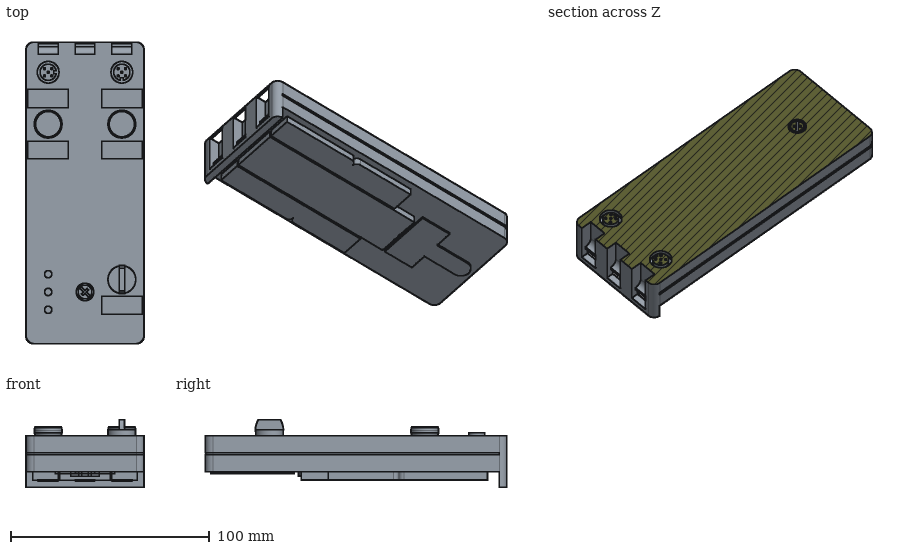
import cadquery as cq

length = 152.0
width = 59.6
height = 34.0
corner_radius = 4.0

body_bottom = 7.8
body_top = 26.0
rear_y = length / 2
inner_flange_y = rear_y - corner_radius

seam_bottom = 16.4
seam_height = 0.9
seam_depth = 0.3

side_window_width = 10.0
middle_window_width = 9.7
window_front_y = 69.9
window_floor_z = 9.1
window_floor_end_y = 73.5
window_floor_radius = window_floor_end_y - window_front_y
window_sill_z = 3.2
window_bar_depth = 0.9
window_bar_height = 0.6

column_x = 18.5
connector_y = 60.8
cap_y = 34.7
knob_y = -43.6
screw_y = -49.9
mark_depth = 0.2

label_width = 20.4
tall_label_height = 9.3
short_label_height = 8.8
upper_label_y = 47.5
lower_label_y = 21.6
knob_label_y = -56.5
led_radius = 1.8
led_pitch = 9.0

connector_outer_radius = 5.5
connector_core_radius = 4.1
connector_core_height = 1.5
connector_recess_depth = 3.0
pin_radius = 0.5
pin_offset = 1.8
pin_depth = 2.3
key_width = 1.4
key_depth = 1.2

cap_radius = 7.0
cap_height = 4.5
cap_chamfer = 0.5
cap_band_bottom = 1.4
cap_band_top = 2.7
cap_lip_height = 0.9
cap_base_radius = 6.7
cap_lip_radius = 6.8

knob_radius = 7.0
knob_disc_height = 3.0
blade_width = 2.7
blade_bottom_half = 7.1
blade_middle_half = 6.7
blade_top_half = 5.6

screw_outer_radius = 4.4
screw_head_radius = 3.5
screw_recess_depth = 1.5
screw_slot_width = 1.0
screw_cross_length = 4.0
screw_slot_depth = 0.9
screw_slot_angle = -45.0

pad_height = 4.1
pad_rear_y = 66.3
pad_split_y = 21.5
side_pad_front_y = -14.0
center_pad_front_y = -27.7
center_pad_half_width = 12.6
side_pad_inner_x = 13.5
side_pad_outer_x = 26.3
pad_corner_radius = 2.6

latch_height = 2.1
latch_reach = 1.4
latch_base_half = 7.1
latch_tip_half = 3.0
latch_notch_half = 1.5
latch_notch_depth = 0.6

plate_thickness = 0.9
plate_rear_y = -31.0
plate_front_y = -73.3
plate_half_width = 15.0
plate_shoulder_y = -48.6
tongue_radius = 5.0


def box(x0, x1, y0, y1, z0, z1):
    """Box between two opposite corners."""
    return cq.Workplane("XY").box(x1 - x0, y1 - y0, z1 - z0, centered=False).translate((x0, y0, z0))


def disc(radius, x, y, z0, z1):
    """Upright cylinder from z0 to z1."""
    return cq.Workplane("XY", origin=(x, y, z0)).circle(radius).extrude(z1 - z0)


def rounded_block(x_size, y_size, z0, z1, radius):
    """Centred block with rounded upright corners."""
    block = cq.Workplane("XY", origin=(0, 0, z0)).rect(x_size, y_size).extrude(z1 - z0)
    return block.edges("|Z").fillet(radius)


def make_housing():
    """Body with the full-height rear flange and the seam groove."""
    outline = rounded_block(width, length, 0, body_top, corner_radius)
    below_body = box(-width, width, -length, inner_flange_y, 0, body_bottom)
    seam_top = seam_bottom + seam_height
    core = rounded_block(
        width - 2 * seam_depth, length - 2 * seam_depth, seam_bottom, seam_top, corner_radius - seam_depth
    )
    seam = box(-width, width, -length, inner_flange_y, seam_bottom, seam_top).cut(core)
    return outline.cut(below_body).cut(seam)


def make_rear_window(center_x, window_width):
    """Cavity open at the top and rear, leaving a floor tongue and a thin bar along the top rear edge."""
    x0 = center_x - window_width / 2
    x1 = center_x + window_width / 2
    pocket = box(x0, x1, window_front_y, rear_y, window_floor_z, body_top)
    pocket = pocket.edges("|X and <Y and <Z").fillet(window_floor_radius)
    rear_opening = box(x0, x1, window_floor_end_y, rear_y, window_sill_z, window_floor_z)
    under_tongue = box(x0, x1, inner_flange_y, window_floor_end_y, window_sill_z, body_bottom)
    bar = box(x0, x1, rear_y - window_bar_depth, rear_y, body_top - window_bar_height, body_top)
    return pocket.union(rear_opening).union(under_tongue).cut(bar)


def cut_label(part, x, y, label_height):
    """Shallow rectangular label field in the top face."""
    field = cq.Workplane("XY", origin=(x, y, body_top)).rect(label_width, label_height).extrude(-mark_depth)
    return part.cut(field)


def add_connector(part, x, key_angle):
    """Round socket: raised core in an annular recess, five pin holes and a keyway."""
    core_top = body_top + connector_core_height
    recess_floor = body_top - connector_recess_depth
    part = part.cut(disc(connector_outer_radius, x, connector_y, recess_floor, body_top))
    core = disc(connector_core_radius, 0, 0, recess_floor, core_top)
    pins = [(0, 0)] + [(i * pin_offset, j * pin_offset) for i in (-1, 1) for j in (-1, 1)]
    core_face = cq.Workplane("XY", origin=(0, 0, core_top))
    holes = core_face.pushPoints(pins).circle(pin_radius).extrude(-pin_depth)
    keyway = box(
        connector_core_radius - key_depth, connector_core_radius, -key_width / 2, key_width / 2,
        recess_floor, core_top,
    )
    keyway = keyway.rotate((0, 0, 0), (0, 0, 1), key_angle)
    core = core.cut(holes).cut(keyway)
    return part.union(core.translate((x, connector_y, 0)))


def make_cap(x):
    """Screw cap turned from one profile: flared foot, plain band and chamfered top."""
    profile = [
        (0, 0),
        (cap_base_radius, 0),
        (cap_lip_radius, cap_lip_height),
        (cap_radius, cap_band_bottom),
        (cap_radius, cap_band_top),
        (cap_lip_radius, cap_height - cap_chamfer),
        (cap_lip_radius - cap_chamfer, cap_height),
        (0, cap_height),
    ]
    cap = cq.Workplane("XZ").polyline(profile).close().revolve(360, (0, 0, 0), (0, 1, 0))
    return cap.translate((x, cap_y, body_top))


def make_knob():
    """Round knob with an upright grip blade whose ends curve inward."""
    disc_top = body_top + knob_disc_height
    middle_z = (disc_top + height) / 2
    blade = (
        cq.Workplane("YZ")
        .moveTo(-blade_bottom_half, disc_top)
        .lineTo(blade_bottom_half, disc_top)
        .threePointArc((blade_middle_half, middle_z), (blade_top_half, height))
        .lineTo(-blade_top_half, height)
        .threePointArc((-blade_middle_half, middle_z), (-blade_bottom_half, disc_top))
        .close()
        .extrude(blade_width / 2, both=True)
        .translate((column_x, knob_y, 0))
    )
    return disc(knob_radius, column_x, knob_y, body_top, disc_top).union(blade)


def make_screw_recess():
    """Annular gap around the screw head plus the slot and short cross arm in the head."""
    recess_floor = body_top - screw_recess_depth
    ring = disc(screw_outer_radius, 0, screw_y, recess_floor, body_top)
    ring = ring.cut(disc(screw_head_radius, 0, screw_y, recess_floor, body_top))
    face = cq.Workplane("XY", origin=(0, screw_y, body_top)).transformed(rotate=(0, 0, screw_slot_angle))
    slot = face.rect(2 * screw_head_radius, screw_slot_width).extrude(-screw_slot_depth)
    cross = face.rect(screw_slot_width, screw_cross_length).extrude(-screw_slot_depth)
    return ring.union(slot).union(cross)


def make_pads():
    """Centre pad and, on each side, two pads that meet at rounded outer corners."""
    z0 = body_bottom - pad_height
    pads = box(
        -center_pad_half_width, center_pad_half_width, center_pad_front_y, pad_rear_y, z0, body_bottom
    )
    rear = box(side_pad_inner_x, side_pad_outer_x, pad_split_y, pad_rear_y, z0, body_bottom)
    rear = rear.edges("|Z and >X and <Y").fillet(pad_corner_radius)
    front = box(side_pad_inner_x, side_pad_outer_x, side_pad_front_y, pad_split_y, z0, body_bottom)
    front = front.edges("|Z and >X and >Y").fillet(pad_corner_radius)
    side = rear.union(front)
    return pads.union(side).union(side.mirror("YZ"))


def make_latch():
    """Tapered latch with a shallow central notch."""
    tip_y = center_pad_front_y - latch_reach
    notch_y = tip_y + latch_notch_depth
    points = [
        (-latch_base_half, center_pad_front_y),
        (-latch_tip_half, tip_y),
        (-latch_notch_half, tip_y),
        (-latch_notch_half, notch_y),
        (latch_notch_half, notch_y),
        (latch_notch_half, tip_y),
        (latch_tip_half, tip_y),
        (latch_base_half, center_pad_front_y),
    ]
    bottom = cq.Workplane("XY", origin=(0, 0, body_bottom))
    return bottom.polyline(points).close().extrude(-latch_height)


def make_plate():
    """Thin plate with a round-ended tongue toward the front."""
    z0 = body_bottom - plate_thickness
    tongue_center_y = plate_front_y + tongue_radius
    plate = box(-plate_half_width, plate_half_width, plate_shoulder_y, plate_rear_y, z0, body_bottom)
    tongue = box(-tongue_radius, tongue_radius, tongue_center_y, plate_shoulder_y, z0, body_bottom)
    return plate.union(tongue).union(disc(tongue_radius, 0, tongue_center_y, z0, body_bottom))


result = make_housing().union(make_pads()).union(make_latch()).union(make_plate())

result = result.cut(make_rear_window(0, middle_window_width))
for side_x in (-column_x, column_x):
    result = result.cut(make_rear_window(side_x, side_window_width))
    result = cut_label(result, side_x, upper_label_y, tall_label_height)
    result = cut_label(result, side_x, lower_label_y, short_label_height)
    result = result.union(make_cap(side_x))
result = cut_label(result, column_x, knob_label_y, tall_label_height)

for step in (-1, 0, 1):
    led_y = screw_y + step * led_pitch
    result = result.cut(disc(led_radius, -column_x, led_y, body_top - mark_depth, body_top))

result = add_connector(result, -column_x, 0)
result = add_connector(result, column_x, -90)
result = result.cut(make_screw_recess())
result = result.union(make_knob())